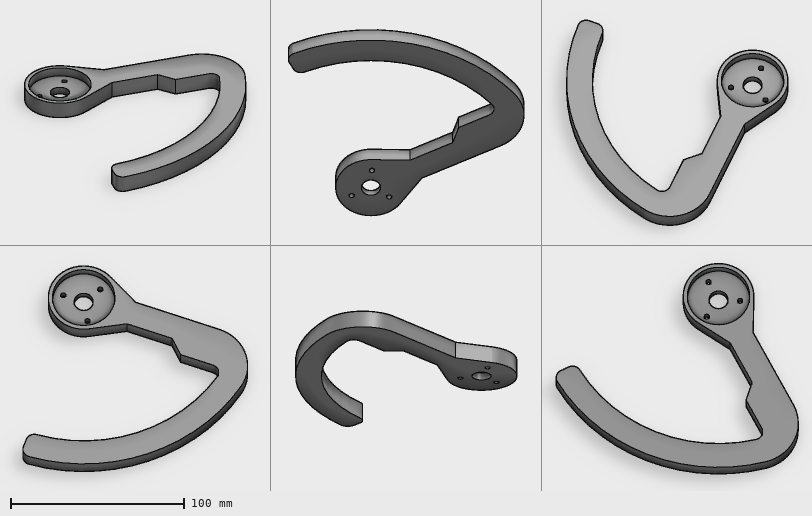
import cadquery as cq
import math

thickness = 10.0

hub_radius = 20.5
pocket_diameter = 36.0
pocket_depth = 5.5
bore_diameter = 11.0
screw_hole_diameter = 3.0
screw_circle_radius = 12.5
screw_count = 3
first_screw_angle = -90

arm_half_width = 7.4
taper_top = 29.3
step_x = 15.6
step_top = 65.2
step_bottom = step_top - (step_x - arm_half_width)

hook_outer_radius = 107.5
hook_width = 15.0
hook_inner_radius = hook_outer_radius - hook_width
outer_corner_radius = 25.0
small_corner_radius = 5.0


def hook_y(radius, x):
    """Height of a hook arc at the given x."""
    return math.sqrt(radius**2 - x**2)


def hook_x(radius, y):
    """Sideways position of a hook arc at the given y."""
    return math.sqrt(radius**2 - y**2)


def hook_middle(radius):
    """Point on a hook arc, halfway round the quadrant."""
    reach = radius * math.cos(math.radians(45))
    return (reach, reach)


def round_corner(body, x, y, radius):
    """Fillet the vertical edge nearest to (x, y)."""
    edge = cq.selectors.NearestToPointSelector((x, y, thickness / 2))
    return body.edges("|Z").edges(edge).fillet(radius)


def make_arm():
    """Straight arm and curved hook, with rounded corners."""
    outer_corner = (-arm_half_width, hook_y(hook_outer_radius, -arm_half_width))
    inner_corner = (step_x, hook_y(hook_inner_radius, step_x))
    outer_tip = (hook_x(hook_outer_radius, 0), 0)
    inner_tip = (hook_x(hook_inner_radius, 0), 0)
    arm = (
        cq.Workplane("XY")
        .moveTo(-arm_half_width, taper_top)
        .lineTo(*outer_corner)
        .threePointArc(hook_middle(hook_outer_radius), outer_tip)
        .lineTo(*inner_tip)
        .threePointArc(hook_middle(hook_inner_radius), inner_corner)
        .lineTo(step_x, step_top)
        .lineTo(arm_half_width, step_bottom)
        .lineTo(arm_half_width, taper_top)
        .close()
        .extrude(thickness)
    )
    arm = round_corner(arm, *outer_corner, outer_corner_radius)
    for corner in (inner_corner, outer_tip, inner_tip):
        arm = round_corner(arm, *corner, small_corner_radius)
    return arm


def make_hub():
    """Round hub with straight sides running tangentially up to the arm."""
    corner_distance = math.hypot(arm_half_width, taper_top)
    corner_angle = math.atan2(taper_top, arm_half_width)
    tangent_angle = corner_angle - math.acos(hub_radius / corner_distance)
    tangent_x = hub_radius * math.cos(tangent_angle)
    tangent_y = hub_radius * math.sin(tangent_angle)
    return (
        cq.Workplane("XY")
        .moveTo(-arm_half_width, taper_top)
        .lineTo(arm_half_width, taper_top)
        .lineTo(tangent_x, tangent_y)
        .threePointArc((0, -hub_radius), (-tangent_x, tangent_y))
        .close()
        .extrude(thickness)
    )


def cut_hub_holes(body):
    """Cut the round pocket, the central bore and the screw holes."""
    pocket = (
        cq.Workplane("XY")
        .workplane(offset=thickness - pocket_depth)
        .circle(pocket_diameter / 2)
        .extrude(pocket_depth)
    )
    bore = cq.Workplane("XY").circle(bore_diameter / 2).extrude(thickness)
    screw_holes = (
        cq.Workplane("XY")
        .polarArray(screw_circle_radius, first_screw_angle, 360, screw_count)
        .circle(screw_hole_diameter / 2)
        .extrude(thickness)
    )
    return body.cut(pocket).cut(bore).cut(screw_holes)


result = cut_hub_holes(make_hub().union(make_arm()))